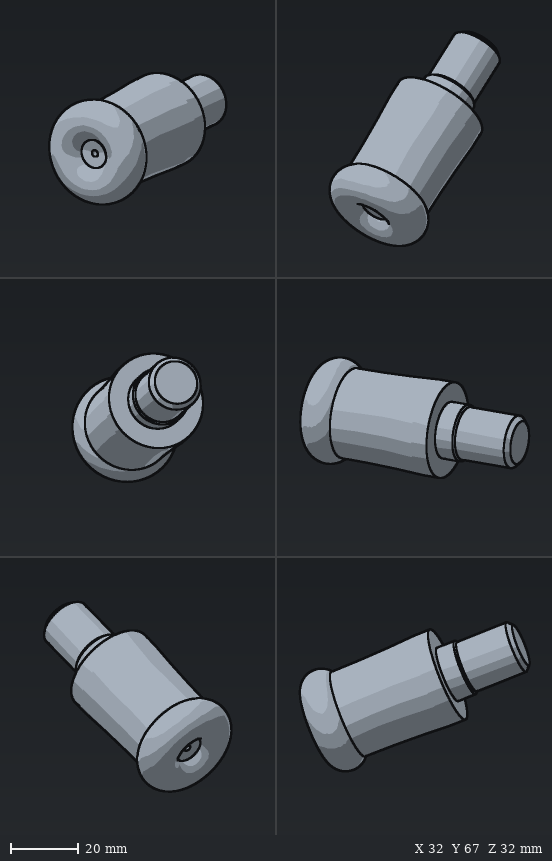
import cadquery as cq
import math

total_length = 67.0

bead_radius = 16.0
bead_section_radius = 6.0
bead_ring_radius = bead_radius - bead_section_radius

dimple_radius = 4.35
dimple_floor_sink = 0.55
centre_hole_radius = 1.0
centre_hole_depth = 3.0
centre_hole_tip_angle = 120.0

grip_front_radius = 13.6
collar_radius = 14.5
collar_start = 38.05
collar_end = 43.15

neck_radius = 8.6
neck_end = 49.45
neck_chamfer = 0.6
shaft_radius = 8.0
shaft_chamfer = 1.5


def bead_half_width(radius):
    """Axial distance from the bead's mid-plane to its surface at a radius."""
    return math.sqrt(bead_section_radius**2 - (radius - bead_ring_radius) ** 2)


dimple_depth = bead_section_radius - bead_half_width(dimple_radius)
centre_hole_start = dimple_depth + dimple_floor_sink
grip_start = bead_section_radius + bead_half_width(grip_front_radius)

grip_length = collar_start - grip_start
grip_flare = collar_radius - grip_front_radius
grip_arc_radius = (grip_length**2 + grip_flare**2) / (2 * grip_flare)
grip_middle = grip_start + grip_length / 2
grip_middle_radius = (
    grip_front_radius + grip_arc_radius - math.sqrt(grip_arc_radius**2 - (grip_length / 2) ** 2)
)


def make_body():
    """Revolve the half profile (radius, position along Y) about the Y axis."""
    profile = (
        cq.Workplane("ZY")
        .moveTo(0, centre_hole_start)
        .lineTo(centre_hole_radius, centre_hole_start)
        .lineTo(dimple_radius, dimple_depth)
        .threePointArc((bead_ring_radius, 0), (grip_front_radius, grip_start))
        .threePointArc((grip_middle_radius, grip_middle), (collar_radius, collar_start))
        .lineTo(collar_radius, collar_end)
        .lineTo(neck_radius, collar_end)
        .lineTo(neck_radius, neck_end - neck_chamfer)
        .lineTo(shaft_radius, neck_end)
        .lineTo(shaft_radius, total_length - shaft_chamfer)
        .lineTo(shaft_radius - shaft_chamfer, total_length)
        .lineTo(0, total_length)
        .close()
    )
    return profile.revolve(360, (0, 0, 0), (0, 1, 0))


def make_centre_hole():
    """Drilled blind hole with a conical tip, starting at the dimple floor."""
    tip_length = centre_hole_radius / math.tan(math.radians(centre_hole_tip_angle / 2))
    wall_end = centre_hole_start + centre_hole_depth
    profile = (
        cq.Workplane("ZY")
        .moveTo(0, centre_hole_start)
        .lineTo(centre_hole_radius, centre_hole_start)
        .lineTo(centre_hole_radius, wall_end)
        .lineTo(0, wall_end + tip_length)
        .close()
    )
    return profile.revolve(360, (0, 0, 0), (0, 1, 0))


result = make_body().cut(make_centre_hole())